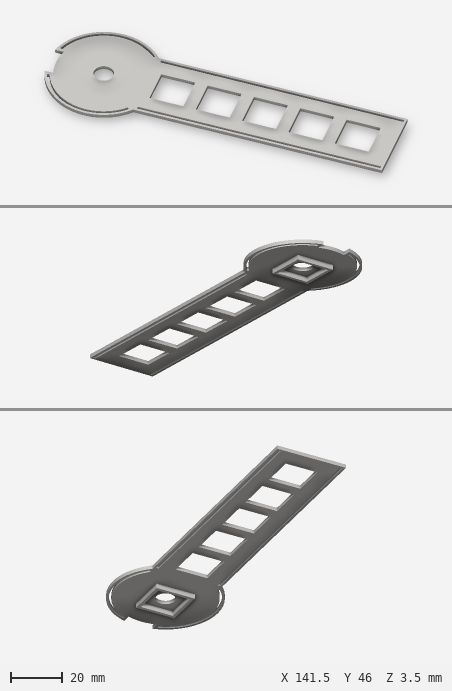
import cadquery as cq
import math

plate_thickness = 1.5
boss_depth = 2.0
boss_side = 16.8
boss_opening_side = 14.0

head_radius = 23.0
rim_width = 1.0
curved_slot_width = 1.0
arm_slot_width = 1.0
hub_hole_diameter = 8.0

notch_width = 12.3
notch_floor_radius = 19.5

overall_length = 141.49
arm_width = 30.1
notch_tip_x = -math.sqrt(head_radius**2 - (notch_width / 2) ** 2)
arm_end_x = notch_tip_x + overall_length

arm_slot_start_x = 18.6
arm_slot_end_x = arm_end_x - rim_width
arm_slot_y = arm_width / 2 - rim_width - arm_slot_width / 2

window_count = 5
window_side = 13.9
window_pitch = 19.0
first_window_x = 28.15

curved_slot_start_angle = 44.5
curved_slot_end_angle = 159.5


def block(x_min, x_max, y_min, y_max):
    """Plate-thick rectangular block between the given limits."""
    return (
        cq.Workplane("XY")
        .center((x_min + x_max) / 2, (y_min + y_max) / 2)
        .rect(x_max - x_min, y_max - y_min)
        .extrude(plate_thickness)
    )


def disc(radius):
    """Plate-thick disc centred on the head."""
    return cq.Workplane("XY").circle(radius).extrude(plate_thickness)


def make_plate():
    """Head and arm joined into one flat plate."""
    arm = block(0, arm_end_x, -arm_width / 2, arm_width / 2)
    return disc(head_radius).union(arm)


def make_boss():
    """Square frame below the head."""
    return (
        cq.Workplane("XY")
        .rect(boss_side, boss_side)
        .rect(boss_opening_side, boss_opening_side)
        .extrude(-boss_depth)
    )


def make_notch():
    """Notch cutter: a strip across the -X edge, outside the floor radius."""
    strip = block(-head_radius, 0, -notch_width / 2, notch_width / 2)
    return strip.cut(disc(notch_floor_radius))


def make_curved_slot():
    """Thin arc slot inside the rim on the +Y side of the head."""
    outer_radius = head_radius - rim_width
    inner_radius = outer_radius - curved_slot_width

    middle_angle = (curved_slot_start_angle + curved_slot_end_angle) / 2

    def polar_point(radius, angle):
        return radius * math.cos(math.radians(angle)), radius * math.sin(math.radians(angle))

    return (
        cq.Workplane("XY")
        .moveTo(*polar_point(outer_radius, curved_slot_start_angle))
        .threePointArc(
            polar_point(outer_radius, middle_angle),
            polar_point(outer_radius, curved_slot_end_angle),
        )
        .lineTo(*polar_point(inner_radius, curved_slot_end_angle))
        .threePointArc(
            polar_point(inner_radius, middle_angle),
            polar_point(inner_radius, curved_slot_start_angle),
        )
        .close()
        .extrude(plate_thickness)
    )


def make_arm_slot():
    """Thin straight slot beside the +Y edge of the arm."""
    half_width = arm_slot_width / 2
    return block(arm_slot_start_x, arm_slot_end_x, arm_slot_y - half_width, arm_slot_y + half_width)


def make_window(index):
    """Square window at the given place in the row."""
    center_x = first_window_x + index * window_pitch
    half_side = window_side / 2
    return block(center_x - half_side, center_x + half_side, -half_side, half_side)


result = make_plate().union(make_boss()).cut(make_notch())

for slot in (make_curved_slot(), make_arm_slot()):
    result = result.cut(slot).cut(slot.mirror("XZ"))

for window_index in range(window_count):
    result = result.cut(make_window(window_index))

result = result.faces(">Z").workplane(origin=(0, 0, 0)).hole(hub_hole_diameter)